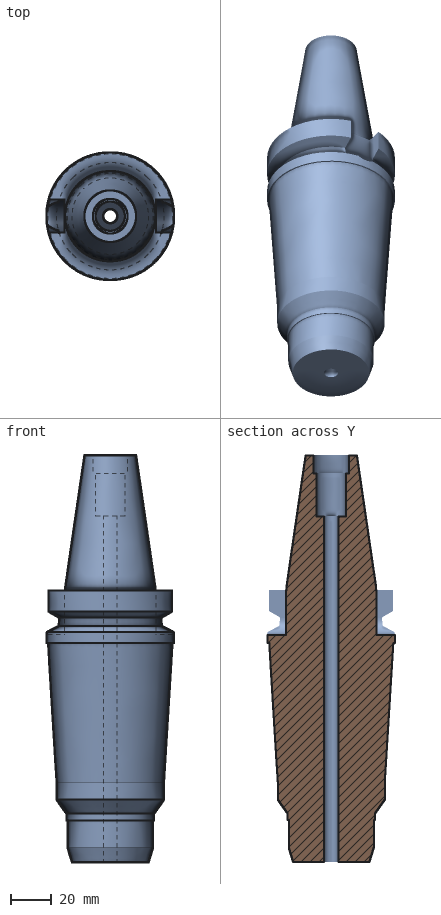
import cadquery as cq

total_height = 200.5

nose_tip_radius = 18.8
nose_radius = 21.0
nose_chamfer_height = 7.2
collar_radius = 21.6
collar_bottom = 20.6
collar_top = 24.0
body_lower_radius = 26.5
body_lower_bottom = 30.9
body_cone_bottom = 39.3
body_upper_radius = 30.7

flange_radius = 31.5
flange_top = 133.9
flange_height = 26.0
flange_bottom = flange_top - flange_height
groove_radius = 26.5
groove_upper_edge = flange_top - 10.5
groove_floor_top = flange_top - 13.5
groove_floor_bottom = flange_top - 17.6
groove_lower_edge = flange_top - 20.6

gauge_radius = 22.2
gauge_land_height = 1.2
taper_bottom = flange_top + gauge_land_height
taper_on_diameter = 7 / 24
shank_tip_radius = gauge_radius - (total_height - taper_bottom) * taper_on_diameter / 2

slot_width = 16.2
slot_depth = 21.8
slot_floor_offset = 22.5

entry_diameter = 17.0
entry_depth = 9.0
bore_radius = 7.2
bore_depth = 30.0
through_radius = 3.5


def make_holder():
    outline = [
        (0, 0),
        (nose_tip_radius, 0),
        (nose_radius, nose_chamfer_height),
        (nose_radius, collar_bottom),
        (collar_radius, collar_bottom),
        (collar_radius, collar_top),
        (body_lower_radius, body_lower_bottom),
        (body_lower_radius, body_cone_bottom),
        (body_upper_radius, flange_bottom),
        (flange_radius, flange_bottom),
        (flange_radius, groove_lower_edge),
        (groove_radius, groove_floor_bottom),
        (groove_radius, groove_floor_top),
        (flange_radius, groove_upper_edge),
        (flange_radius, flange_top),
        (gauge_radius, flange_top),
        (gauge_radius, taper_bottom),
        (shank_tip_radius, total_height),
        (0, total_height),
    ]
    return cq.Workplane("XZ").polyline(outline).close().revolve(360, (0, 0), (0, 1))


def make_drive_slot(side):
    """Round-bottomed slot open at the flange top; side is -1 or +1 along X."""
    half_width = slot_width / 2
    slot_bottom = flange_top - slot_depth
    arc_center_height = slot_bottom + half_width
    return (
        cq.Workplane("YZ", origin=(side * slot_floor_offset, 0, 0))
        .moveTo(-half_width, flange_top)
        .lineTo(-half_width, arc_center_height)
        .threePointArc((0, slot_bottom), (half_width, arc_center_height))
        .lineTo(half_width, flange_top)
        .close()
        .extrude(side * flange_radius)
    )


def make_bore(radius, depth):
    """Bore going down from the shank end."""
    return cq.Workplane("XY", origin=(0, 0, total_height)).circle(radius).extrude(-depth)


result = make_holder()
for side in (-1, 1):
    result = result.cut(make_drive_slot(side))

for radius, depth in (
    (entry_diameter / 2, entry_depth),
    (bore_radius, bore_depth),
    (through_radius, total_height),
):
    result = result.cut(make_bore(radius, depth))